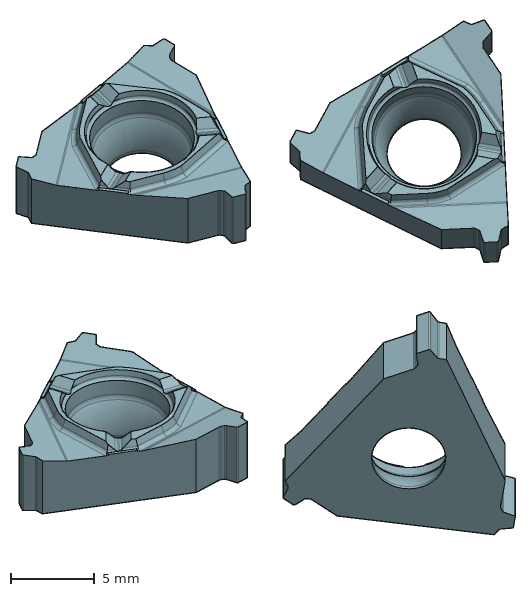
import cadquery as cq
import math

corner_count = 3
corner_step = 360 / corner_count
right_flank_normal = 180 - corner_step
outer_reach = 9.76

flank_distance = 4.75
flank_end_y = 5.84
shoulder_y = 5.92
shoulder_left_x = -2.73
shoulder_radius = 0.25
tooth_center_x = -3.67
tooth_tip_y = 6.9
tooth_root_y = 6.1
tooth_tip_half = 0.43
tooth_root_half = 0.64
tooth_tip_radius = 0.1
tooth_root_radius = 0.14

floor_z = 3.5
top_z = 4.1
rake_angle = 10
rake_start_y = 4.32
valley_setback = 0.04

boss_arc_radius = 4.0
boss_oblique_distance = 3.92
boss_oblique_normal = 121
boss_end_distance = 4.56
boss_draft = 25
boss_foot_radius = 0.32

groove_angle = 46.4
groove_bottom_z = 3.58
groove_half_width = 0.75
groove_bottom_half = 0.14
groove_bottom_radius = 0.26

ledge_height = 0.07
ledge_length = 1.78
ledge_overlap = 0.14

recess_top_radius = 3.43
recess_wall_radius = 3.33
recess_floor_radius = 3.12
recess_floor_z = 3.54
recess_blend = recess_wall_radius - recess_floor_radius
collar_radius = 3.02
collar_bottom_z = 2.6
collar_blend_radius = 0.49
bore_radius = 2.2
throat_radius = 3.35


def turned(x, y, angle):
    """Rotate a point about the hole axis."""
    a = math.radians(angle)
    return (x * math.cos(a) - y * math.sin(a), x * math.sin(a) + y * math.cos(a))


def line_meeting(normal_a, distance_a, normal_b, distance_b):
    """Point where two lines meet, each given by its normal direction and distance."""
    a = math.radians(normal_a)
    b = math.radians(normal_b)
    det = math.sin(b - a)
    x = (distance_a * math.sin(b) - distance_b * math.sin(a)) / det
    y = (distance_b * math.cos(a) - distance_a * math.cos(b)) / det
    return (x, y)


def corner_copies(solid):
    """One copy of a feature for each corner."""
    return [solid.rotate((0, 0, 0), (0, 0, 1), -i * corner_step) for i in range(corner_count)]


def round_upright_edges(prism, points, radius):
    """Fillet the upright edges at the given points of every corner."""
    edges = []
    for i in range(corner_count):
        for x, y in points:
            edge_x, edge_y = turned(x, y, -i * corner_step)
            nearest = cq.NearestToPointSelector((edge_x, edge_y, top_z / 2))
            edges += prism.edges("|Z").edges(nearest).vals()
    return cq.Workplane(prism.val().fillet(radius, edges))


def make_prism():
    """Full-height body outline with rounded teeth."""
    shoulder_start = (shoulder_left_x, shoulder_y)
    shoulder_end = line_meeting(90, shoulder_y, right_flank_normal, flank_distance)
    tip_points = [
        (tooth_center_x - tooth_tip_half, tooth_tip_y),
        (tooth_center_x + tooth_tip_half, tooth_tip_y),
    ]
    root_points = [
        (tooth_center_x - tooth_root_half, tooth_root_y),
        (tooth_center_x + tooth_root_half, tooth_root_y),
    ]
    corner = [
        (-flank_distance, flank_end_y),
        root_points[0],
        *tip_points,
        root_points[1],
        shoulder_start,
        shoulder_end,
    ]
    outline = [turned(x, y, -i * corner_step) for i in range(corner_count) for x, y in corner]
    prism = cq.Workplane("XY").polyline(outline).close().extrude(top_z)
    prism = round_upright_edges(prism, root_points, tooth_root_radius)
    prism = round_upright_edges(prism, tip_points, tooth_tip_radius)
    return round_upright_edges(prism, [shoulder_start], shoulder_radius)


def make_rake():
    """Rising wedge under the tooth of one corner, blended into the floor."""
    slope = math.radians(rake_angle)
    rake_end_y = outer_reach
    rake_end_z = floor_z + (rake_end_y - rake_start_y) * math.tan(slope)
    blend_end = (
        rake_start_y + valley_setback * math.cos(slope),
        floor_z + valley_setback * math.sin(slope),
    )
    blend_radius = valley_setback / math.tan(slope / 2)
    return (
        cq.Workplane("YZ")
        .moveTo(rake_start_y - valley_setback, floor_z)
        .radiusArc(blend_end, -blend_radius)
        .lineTo(rake_end_y, rake_end_z)
        .lineTo(rake_end_y, 0)
        .lineTo(rake_start_y - valley_setback, 0)
        .close()
        .extrude(outer_reach, both=True)
    )


def make_boss():
    """Drafted boss standing on the floor, with a rounded foot."""
    swing = math.degrees(math.acos(boss_oblique_distance / boss_arc_radius))
    arc_start_angle = boss_oblique_normal - swing
    arc_middle_angle = (arc_start_angle + 90) / 2
    straight_end = line_meeting(90, boss_arc_radius, right_flank_normal, boss_end_distance)
    next_oblique = line_meeting(
        right_flank_normal, boss_end_distance,
        boss_oblique_normal - corner_step, boss_oblique_distance,
    )
    sketch = cq.Workplane("XY", origin=(0, 0, floor_z))
    sketch = sketch.moveTo(*turned(boss_arc_radius, 0, arc_start_angle))
    for i in range(corner_count):
        turn = -i * corner_step
        sketch = sketch.threePointArc(
            turned(boss_arc_radius, 0, arc_middle_angle + turn),
            turned(0, boss_arc_radius, turn),
        )
        sketch = sketch.lineTo(*turned(*straight_end, turn))
        sketch = sketch.lineTo(*turned(*next_oblique, turn))
        if i < corner_count - 1:
            sketch = sketch.lineTo(*turned(boss_arc_radius, 0, arc_start_angle + turn - corner_step))
    boss = sketch.close().extrude(top_z - floor_z, taper=boss_draft)
    base = cq.Workplane("XY").circle(outer_reach).extrude(floor_z)
    margin = 0.01
    reach = boss_end_distance + boss_foot_radius
    foot_slice = cq.selectors.BoxSelector(
        (-reach, -reach, floor_z - margin), (reach, reach, floor_z + margin)
    )
    return base.union(boss).edges(foot_slice).fillet(boss_foot_radius)


def make_ledge():
    """Low step along the flank at the open end of a groove."""
    ledge_width = flank_distance - boss_end_distance + ledge_overlap
    return cq.Workplane("XY", origin=(-flank_distance, 0, floor_z)).box(
        ledge_width, ledge_length, ledge_height, centered=False
    )


def make_groove():
    """V groove running out radially from the screw hole."""
    top_rise = top_z - groove_bottom_z
    overshoot = 0.28
    spread = (groove_half_width - groove_bottom_half) / top_rise
    top_half = groove_half_width + overshoot * spread
    groove = (
        cq.Workplane("YZ")
        .moveTo(groove_bottom_half, groove_bottom_z)
        .lineTo(top_half, top_z + overshoot)
        .lineTo(-top_half, top_z + overshoot)
        .lineTo(-groove_bottom_half, groove_bottom_z)
        .close()
        .extrude(outer_reach)
        .faces("<Z")
        .edges("|X")
        .fillet(groove_bottom_radius)
    )
    return groove.rotate((0, 0, 0), (0, 0, 1), groove_angle)


def make_screw_seat():
    """Stepped hole with a convex screw seat, as a solid of revolution."""
    drop = collar_radius - bore_radius
    lean = math.acos(1 - drop / (throat_radius + collar_blend_radius))
    half_lean = lean / 2

    def arc_offset(radius, angle):
        return radius * (1 - math.cos(angle)), radius * math.sin(angle)

    blend_in, blend_down = arc_offset(collar_blend_radius, lean)
    mid_in, mid_down = arc_offset(collar_blend_radius, half_lean)
    throat_out, throat_up = arc_offset(throat_radius, half_lean)
    throat_top_z = collar_bottom_z - blend_down
    throat_bottom_z = throat_top_z - throat_radius * math.sin(lean)
    return (
        cq.Workplane("XZ")
        .moveTo(0, 0)
        .lineTo(bore_radius, 0)
        .lineTo(bore_radius, throat_bottom_z)
        .threePointArc(
            (bore_radius + throat_out, throat_bottom_z + throat_up),
            (collar_radius - blend_in, throat_top_z),
        )
        .threePointArc(
            (collar_radius - mid_in, collar_bottom_z - mid_down),
            (collar_radius, collar_bottom_z),
        )
        .lineTo(recess_floor_radius, recess_floor_z)
        .radiusArc((recess_wall_radius, recess_floor_z + recess_blend), -recess_blend)
        .lineTo(recess_top_radius, top_z)
        .lineTo(0, top_z)
        .close()
        .revolve(360, (0, 0, 0), (0, 1, 0))
    )


body = make_boss()
for rake in corner_copies(make_rake()):
    body = body.union(rake)
for ledge in corner_copies(make_ledge()):
    body = body.union(ledge)
body = body.intersect(make_prism())
for groove in corner_copies(make_groove()):
    body = body.cut(groove)
result = body.cut(make_screw_seat())